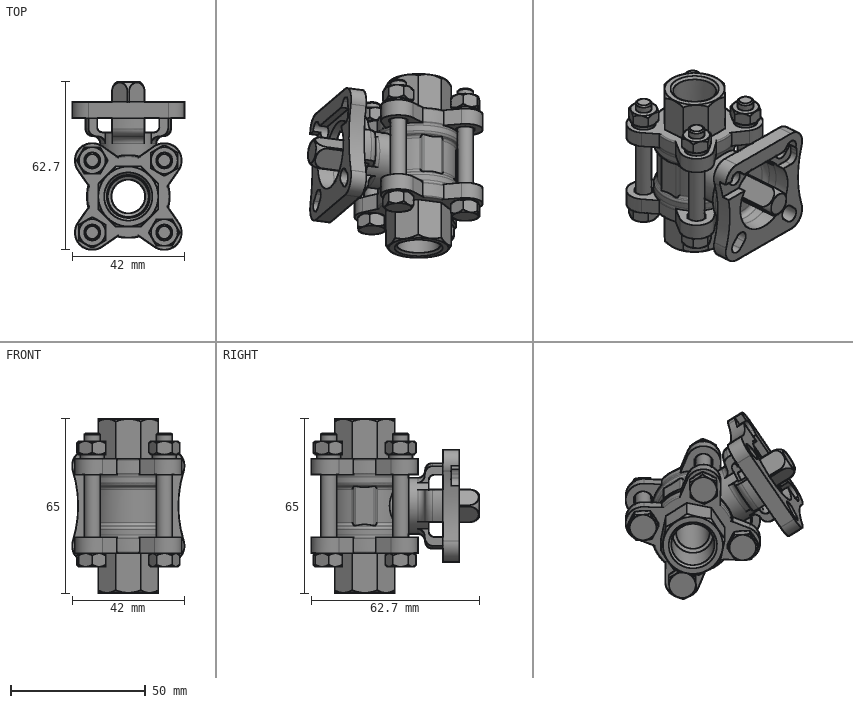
import cadquery as cq
import math


length = 65.0
bore_dia = 12.5

cap_flats = 22.5
cap_sides = 8
cap_chamfer_dia = 22.3
thread_mouth_dia = 18.0
thread_start_dia = 16.1
thread_end_dia = 15.2
thread_mouth_depth = 0.95
thread_depth = 15.0
drill_cone_depth = 0.81

flange_inner_z = 11.65
flange_thickness = 6.0
flange_outer_z = flange_inner_z + flange_thickness
flange_hub_dia = 31.0
flange_hub_fillet = 0.5
lobe_radius = 6.5
lobe_flank_angle = 35.0
bolt_circle_dia = 38.0
bolt_offset = bolt_circle_dia / 2 * math.sqrt(0.5)
bolt_clearance_dia = 7.0

bolt_dia = 6.0
bolt_tip_z = 27.15
bolt_tip_chamfer = 0.6
nut_sides = 6
nut_flats = 10.0
nut_height = 5.1
nut_chamfer_dia = 9.9
washer_dia = 9.0
washer_thickness = 1.45

body_dia = 28.0
ring_dia = 30.5
ring_inner_z = 8.64
ring_outer_z = 10.8
seat_dia = 30.96
shoulder_radius = 1.5
shoulder_angle = 45.0
pad_distance = 14.2
pad_flat_half = 3.45
pad_edge_radius = 0.75
pad_root_radius = 1.0

neck_dia = 21.0
neck_top_y = 23.94
arm_width = 12.0
arm_outer_radius = 16.0
arm_root_y = 19.8
arm_root_radius = 2.7
arm_inner_bend = 1.9

plate_inner_y = 29.2
plate_thickness = 6.1
plate_outer_y = plate_inner_y + plate_thickness
plate_half = 20.995
plate_corner_radius = 6.1
plate_waist_half = 18.74
plate_hole_dia = 26.0
slot_width = 5.5
slot_inner_circle = 36.0
slot_outer_circle = 42.0
recess_depth = 3.0
recess_reach = 18.0
recess_low_z = 7.5
recess_high_z = plate_half - plate_corner_radius
recess_corner_radius = 3.0

stem_dia = 12.25
stem_flats = 9.1
stem_top_y = 42.775
stem_dome_height = 3.7
stem_tip_radius = 4.2

quarter_turns = [0, 90, 180, 270]


def disc(diameter, z_low, z_high):
    """Cylinder about Z between two heights."""
    return cq.Workplane("XY").workplane(offset=z_low).circle(diameter / 2).extrude(z_high - z_low)


def cylinder_y(diameter, y_low, y_high):
    """Cylinder about Y between two positions."""
    return cq.Workplane("XZ", origin=(0, y_low, 0)).circle(diameter / 2).extrude(y_low - y_high)


def polygon_prism(sides, flats, z_low, z_high, turn):
    """Regular prism about Z, sized across flats."""
    corner_dia = flats / math.cos(math.pi / sides)
    prism = cq.Workplane("XY").workplane(offset=z_low).polygon(sides, corner_dia).extrude(z_high - z_low)
    return prism.rotate((0, 0, 0), (0, 0, 1), turn)


def corner_trim(sides, flats, face_dia, z_low, z_high, both_ends):
    """Turned blank whose 45 degree chamfer trims the corners of a prism at its ends."""
    corner_radius = flats / math.cos(math.pi / sides) / 2
    trim = corner_radius - face_dia / 2
    blank = disc(2 * corner_radius, z_low, z_high).faces(">Z").chamfer(trim)
    if both_ends:
        blank = blank.faces("<Z").chamfer(trim)
    return blank


def end_cap():
    """Octagonal threaded end on the +Z side."""
    half = length / 2
    blank = corner_trim(cap_sides, cap_flats, cap_chamfer_dia, flange_inner_z, half, False)
    octagon = polygon_prism(cap_sides, cap_flats, flange_inner_z, half, 180 / cap_sides)
    return octagon.intersect(blank)


def flange():
    """Four-lobed flange on the +Z side, with bolt clearance holes."""
    flank = math.radians(lobe_flank_angle)
    touch = (bolt_offset - lobe_radius * math.sin(flank), bolt_offset + lobe_radius * math.cos(flank))
    flank_foot = (0, touch[1] - touch[0] * math.tan(flank))
    plate = disc(flange_hub_dia, flange_inner_z, flange_outer_z).edges().fillet(flange_hub_fillet)
    lobe_tip = bolt_offset + lobe_radius * math.sqrt(0.5)
    lobe = (
        cq.Workplane("XY").workplane(offset=flange_inner_z)
        .moveTo(0, 0)
        .lineTo(*flank_foot)
        .lineTo(*touch)
        .threePointArc((lobe_tip, lobe_tip), (touch[1], touch[0]))
        .lineTo(flank_foot[1], 0)
        .close()
        .extrude(flange_thickness)
    )
    hole = disc(bolt_clearance_dia, flange_inner_z, flange_outer_z).translate((bolt_offset, bolt_offset, 0))
    for turn in quarter_turns:
        plate = plate.union(lobe.rotate((0, 0, 0), (0, 0, 1), turn))
    for turn in quarter_turns:
        plate = plate.cut(hole.rotate((0, 0, 0), (0, 0, 1), turn))
    return plate


def bolt_set():
    """Bolt with head, washer and nut at the (+X, +Y) lobe."""
    nut_base = flange_outer_z + washer_thickness

    def hexagon(z_low):
        z_high = z_low + nut_height
        blank = corner_trim(nut_sides, nut_flats, nut_chamfer_dia, z_low, z_high, True)
        return polygon_prism(nut_sides, nut_flats, z_low, z_high, 180 / nut_sides).intersect(blank)

    shank = disc(bolt_dia, -flange_outer_z, bolt_tip_z).faces(">Z").chamfer(bolt_tip_chamfer)
    bolt = shank.union(hexagon(-flange_outer_z - nut_height))
    bolt = bolt.union(disc(washer_dia, flange_outer_z, nut_base))
    bolt = bolt.union(hexagon(nut_base))
    return bolt.translate((bolt_offset, bolt_offset, 0))


def body_half():
    """Upper half of the turned centre body, flaring into the flange hub."""
    seat_z = flange_inner_z + flange_hub_fillet
    body_r = body_dia / 2
    ring_r = ring_dia / 2
    tilt = math.radians(shoulder_angle)
    bend = shoulder_radius * math.sin(tilt)
    rise = shoulder_radius * (1 - math.cos(tilt))
    slope = (ring_r - body_r - 2 * rise) / math.tan(tilt)
    start_z = ring_inner_z - 2 * bend - slope
    half_bend = shoulder_radius * math.sin(tilt / 2)
    half_rise = shoulder_radius * (1 - math.cos(tilt / 2))
    return (
        cq.Workplane("XZ")
        .moveTo(0, 0)
        .lineTo(body_r, 0)
        .lineTo(body_r, start_z)
        .threePointArc((body_r + half_rise, start_z + half_bend), (body_r + rise, start_z + bend))
        .lineTo(ring_r - rise, ring_inner_z - bend)
        .threePointArc((ring_r - half_rise, ring_inner_z - half_bend), (ring_r, ring_inner_z))
        .lineTo(ring_r, ring_outer_z)
        .lineTo(seat_dia / 2, seat_z)
        .lineTo(0, seat_z)
        .close()
        .revolve(360, (0, 0), (0, 1))
    )


def side_pad():
    """Flat pad on the +X side of the body, blended into the barrel by rounds and root fillets."""
    body_r = body_dia / 2
    round_x = pad_distance - pad_edge_radius
    round_distance = math.hypot(round_x, pad_flat_half)
    root_distance = body_r + pad_root_radius
    centres = pad_edge_radius + pad_root_radius
    squares = root_distance**2 + round_distance**2 - centres**2
    spread = math.acos(squares / (2 * root_distance * round_distance))
    root_angle = math.atan2(pad_flat_half, round_x) + spread
    root_x = root_distance * math.cos(root_angle)
    root_y = root_distance * math.sin(root_angle)
    lean = math.atan2(root_y - pad_flat_half, root_x - round_x)
    join = (round_x + pad_edge_radius * math.cos(lean), pad_flat_half + pad_edge_radius * math.sin(lean))
    round_mid = (
        round_x + pad_edge_radius * math.cos(lean / 2),
        pad_flat_half + pad_edge_radius * math.sin(lean / 2),
    )
    foot = (body_r * math.cos(root_angle), body_r * math.sin(root_angle))
    root_mid_angle = (lean + root_angle) / 2 + math.pi
    root_mid = (
        root_x + pad_root_radius * math.cos(root_mid_angle),
        root_y + pad_root_radius * math.sin(root_mid_angle),
    )
    half_pad = (
        cq.Workplane("XY").workplane(offset=-ring_inner_z)
        .moveTo(body_r / 2, 0)
        .lineTo(pad_distance, 0)
        .lineTo(pad_distance, pad_flat_half)
        .threePointArc(round_mid, join)
        .threePointArc(root_mid, foot)
        .lineTo(body_r / 2, foot[1])
        .close()
        .extrude(2 * ring_inner_z)
    )
    return half_pad.union(half_pad.mirror("XZ"))


def arms():
    """Four arms that sweep out from the neck to the mounting plate."""
    neck_r = neck_dia / 2
    inner_r = plate_hole_dia / 2
    diagonal = math.sqrt(0.5)
    knee_x = neck_r + arm_root_radius
    knee_y = arm_root_y + arm_root_radius
    outer_bend = arm_outer_radius - knee_x
    bend_y = knee_y + outer_bend
    inner_x = inner_r - arm_inner_bend
    inner_y = neck_top_y + arm_inner_bend
    skirt = (
        cq.Workplane("XY")
        .moveTo(0, arm_root_y)
        .lineTo(neck_r, arm_root_y)
        .threePointArc(
            (knee_x - arm_root_radius * diagonal, arm_root_y + arm_root_radius * diagonal),
            (knee_x, knee_y),
        )
        .threePointArc(
            (knee_x + outer_bend * diagonal, bend_y - outer_bend * diagonal),
            (arm_outer_radius, bend_y),
        )
        .lineTo(arm_outer_radius, plate_inner_y)
        .lineTo(inner_r, plate_inner_y)
        .lineTo(inner_r, inner_y)
        .threePointArc(
            (inner_x + arm_inner_bend * diagonal, inner_y - arm_inner_bend * diagonal),
            (inner_x, neck_top_y),
        )
        .lineTo(0, neck_top_y)
        .close()
        .revolve(360, (0, 0), (0, 1))
    )
    span = 2 * arm_outer_radius
    height = 2 * plate_inner_y
    arms_x = cq.Workplane("XY").box(span, height, arm_width)
    arms_z = cq.Workplane("XY").box(arm_width, height, span)
    return skirt.intersect(arms_x.union(arms_z))


def mounting_plate():
    """Waisted actuator plate with a centre hole, diagonal slots and a recess in its outer face."""
    corner = plate_half - plate_corner_radius
    gap = plate_waist_half - corner
    waist_radius = (corner**2 + gap**2 - plate_corner_radius**2) / (2 * (plate_corner_radius - gap))
    waist_centre = plate_waist_half + waist_radius
    lean = math.atan2(corner, waist_centre - corner)
    tangent_x = corner + plate_corner_radius * math.cos(lean)
    tangent_z = corner - plate_corner_radius * math.sin(lean)
    mid_angle = (math.pi / 2 - lean) / 2
    mid_x = corner + plate_corner_radius * math.cos(mid_angle)
    mid_z = corner + plate_corner_radius * math.sin(mid_angle)
    plate = (
        cq.Workplane("XZ", origin=(0, plate_outer_y, 0))
        .moveTo(-corner, plate_half)
        .lineTo(corner, plate_half)
        .threePointArc((mid_x, mid_z), (tangent_x, tangent_z))
        .threePointArc((plate_waist_half, 0), (tangent_x, -tangent_z))
        .threePointArc((mid_x, -mid_z), (corner, -plate_half))
        .lineTo(-corner, -plate_half)
        .threePointArc((-mid_x, -mid_z), (-tangent_x, -tangent_z))
        .threePointArc((-plate_waist_half, 0), (-tangent_x, tangent_z))
        .threePointArc((-mid_x, mid_z), (-corner, plate_half))
        .close()
        .extrude(plate_thickness)
    )
    plate = plate.cut(cylinder_y(plate_hole_dia, plate_inner_y, plate_outer_y))
    slot_length = (slot_outer_circle - slot_inner_circle) / 2 + slot_width
    slot = (
        cq.Workplane("XZ", origin=(0, plate_outer_y, 0))
        .center((slot_inner_circle + slot_outer_circle) / 4, 0)
        .slot2D(slot_length, slot_width)
        .extrude(plate_thickness)
    )
    for turn in quarter_turns:
        plate = plate.cut(slot.rotate((0, 0, 0), (0, 1, 0), turn + 45))
    recess = (
        cq.Workplane("XZ", origin=(0, plate_outer_y, 0))
        .center((plate_half - recess_reach) / 2, (recess_low_z + recess_high_z) / 2)
        .rect(plate_half + recess_reach, recess_high_z - recess_low_z)
        .extrude(recess_depth)
        .edges("|Y and <X")
        .fillet(recess_corner_radius)
    )
    return plate.cut(recess)


def stem():
    """Round stem with a domed square end standing on its corners."""
    radius = stem_dia / 2
    drop = radius - stem_tip_radius
    dome_radius = (stem_dome_height**2 + drop**2) / (2 * drop)
    half_angle = math.asin(stem_dome_height / dome_radius) / 2
    dome_y = stem_top_y - stem_dome_height
    arc_mid = (
        radius - dome_radius * (1 - math.cos(half_angle)),
        dome_y + dome_radius * math.sin(half_angle),
    )
    turned = (
        cq.Workplane("XY")
        .moveTo(0, arm_root_y)
        .lineTo(radius, arm_root_y)
        .lineTo(radius, dome_y)
        .threePointArc(arc_mid, (stem_tip_radius, stem_top_y))
        .lineTo(0, stem_top_y)
        .close()
        .revolve(360, (0, 0), (0, 1))
    )
    square = (
        cq.Workplane("XZ", origin=(0, stem_top_y, 0))
        .rect(stem_flats, stem_flats)
        .extrude(stem_top_y - neck_top_y)
        .rotate((0, 0, 0), (0, 1, 0), 45)
    )
    return turned.intersect(square.union(cylinder_y(stem_dia, arm_root_y, neck_top_y)))


def flow_passage():
    """Through bore with a tapered thread socket at each end."""
    half = length / 2
    socket_z = half - thread_depth
    socket = (
        cq.Workplane("XZ")
        .moveTo(0, half)
        .lineTo(thread_mouth_dia / 2, half)
        .lineTo(thread_start_dia / 2, half - thread_mouth_depth)
        .lineTo(thread_end_dia / 2, socket_z)
        .lineTo(bore_dia / 2, socket_z - drill_cone_depth)
        .lineTo(0, socket_z - drill_cone_depth)
        .close()
        .revolve(360, (0, 0), (0, 1))
    )
    return disc(bore_dia, -half, half).union(socket).union(socket.mirror("XY"))


upper = body_half().union(flange()).union(end_cap())
valve = upper.union(upper.mirror("XY"))
pad = side_pad()
valve = valve.union(pad).union(pad.mirror("YZ"))
valve = valve.union(cylinder_y(neck_dia, 0, neck_top_y))
valve = valve.cut(flow_passage())
valve = valve.union(arms()).union(mounting_plate()).union(stem())
bolt_assembly = bolt_set()
for turn in quarter_turns:
    valve = valve.union(bolt_assembly.rotate((0, 0, 0), (0, 0, 1), turn))

result = valve